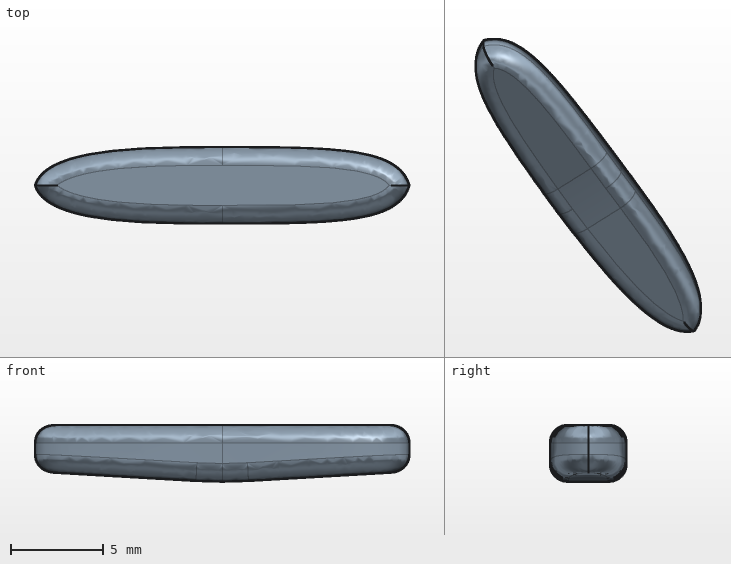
import cadquery as cq

length = 20.25
width = 4.15
height = 3.08

end_depth = 2.53
keel_half_length = 1.42

left_tip_handle = (0.67, 2.02)
left_shoulder_inset = 5.67
right_tip_handle = (0.65, 2.02)
right_shoulder_inset = 3.85

edge_radius = 1.0

half_length = length / 2
half_width = width / 2


def side_profile():
    """Outline in XZ: flat top and a shallow V bottom with a rounded keel."""
    half_slope = (height - end_depth) / (2 * half_length - keel_half_length)
    keel_rise = keel_half_length * half_slope
    keel_end_z = -height + keel_rise
    return (
        cq.Workplane("XZ")
        .moveTo(-half_length, 0)
        .lineTo(-half_length, -end_depth)
        .lineTo(-keel_half_length, keel_end_z)
        .threePointArc((0, -height), (keel_half_length, keel_end_z))
        .lineTo(half_length, -end_depth)
        .lineTo(half_length, 0)
        .close()
        .extrude(width, both=True)
    )


def half_plan():
    """The +Y half of the plan outline, closed along the centre line."""
    left_handle_x, left_handle_y = left_tip_handle
    right_handle_x, right_handle_y = right_tip_handle
    left_curve = [
        (-half_length, 0),
        (-half_length + left_handle_x, left_handle_y),
        (-half_length + left_shoulder_inset, half_width),
        (0, half_width),
    ]
    right_curve = [
        (0, half_width),
        (half_length - right_shoulder_inset, half_width),
        (half_length - right_handle_x, right_handle_y),
        (half_length, 0),
    ]
    return (
        cq.Workplane("XY")
        .bezier(left_curve)
        .bezier(right_curve)
        .close()
        .extrude(-height)
    )


half_body = half_plan().intersect(side_profile())
outer_edges = [
    edge
    for edge in half_body.edges("not |Z").vals()
    if edge.Center().y > half_width / 2
]
half_body = half_body.newObject(outer_edges).fillet(edge_radius)
result = half_body.union(half_body.mirror("XZ"))